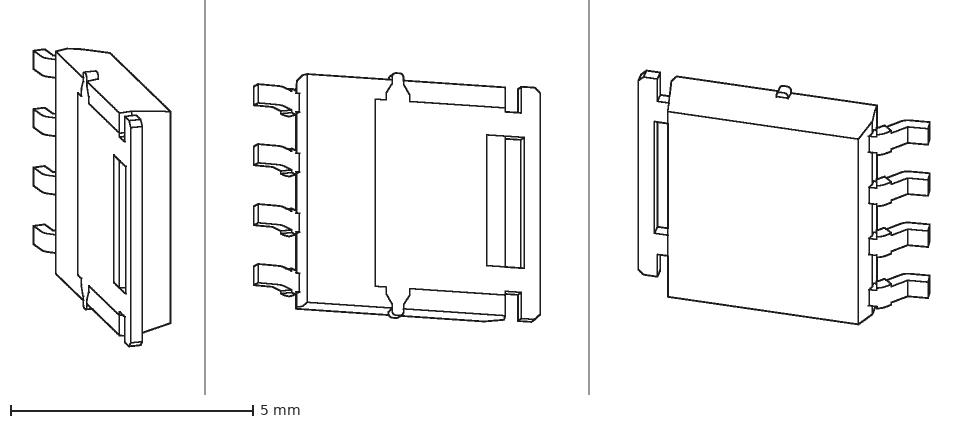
import cadquery as cq
import math


housing_top_y = 1.145
tab_thickness = 0.25
lead_side_parting_y = 0.565
base_x = (-1.955, 2.32)
parting_x = (-2.005, 2.37)
top_x = (-1.86, 2.21)
base_half_z = 2.42
parting_half_z = 2.45
top_half_z = 2.3

plate_left_x = -0.485
plate_half_z = 1.98
ear_root_half_width = 0.25
ear_neck_width = 0.25
ear_neck_half_width = ear_neck_width / 2
ear_taper_start_z = 2.12
ear_taper_end_z = 2.33
ear_tip_z = 2.565
ear_corner_radius = 0.09
arm_half_z = 1.9
crossbar_left_x = 2.66
crossbar_right_x = 3.075
crossbar_half_z = 2.455
crossbar_chamfer = 0.115
window_x = (1.92, 2.725)
window_half_z = 1.385

lead_count = 4
lead_row_length = 3.805
lead_pitch = lead_row_length / (lead_count - 1)
lead_width = 0.4
lead_thickness = 0.25
lead_tip_x = -3.075
lead_lowest_y = -0.13
foot_length = 0.425
foot_angle = math.radians(5.5)
riser_angle = math.radians(49)
riser_length = 0.55
upper_bend_inner_radius = 0.1
lead_end_x = -1.785
shoulder_width = 0.51
shoulder_start = 0.405
shoulder_end_angle = math.radians(17)


def housing_blank():
    """Block bounded by the sloping sides, without any pockets."""
    side_outline = [
        (base_x[0], 0),
        (base_x[1], 0),
        (parting_x[1], tab_thickness),
        (top_x[1], housing_top_y),
        (top_x[0], housing_top_y),
        (parting_x[0], lead_side_parting_y),
    ]
    end_outline = [
        (0, -base_half_z),
        (tab_thickness, -parting_half_z),
        (housing_top_y, -top_half_z),
        (housing_top_y, top_half_z),
        (tab_thickness, parting_half_z),
        (0, base_half_z),
    ]
    along_z = cq.Workplane("XY").polyline(side_outline).close().extrude(parting_half_z, both=True)
    reach_x = max(abs(x) for x in parting_x)
    along_x = cq.Workplane("YZ").polyline(end_outline).close().extrude(reach_x, both=True)
    return along_z.intersect(along_x)


def tab_slab(left_x, right_x, half_z):
    """Rectangular piece of the heat tab, symmetric about Z = 0."""
    return cq.Workplane("XY").box(
        right_x - left_x, tab_thickness, 2 * half_z, centered=(False, False, True)
    ).translate((left_x, 0, 0))


def tab_ears():
    """Pair of tapered ears with rounded tips, one at each Z end."""
    right_side = [
        (ear_neck_half_width, ear_tip_z),
        (ear_neck_half_width, ear_taper_end_z),
        (ear_root_half_width, ear_taper_start_z),
        (ear_root_half_width, -ear_taper_start_z),
        (ear_neck_half_width, -ear_taper_end_z),
        (ear_neck_half_width, -ear_tip_z),
    ]
    left_side = [(-x, z) for x, z in reversed(right_side)]
    blank = cq.Workplane("XZ").polyline(right_side + left_side).close().extrude(-tab_thickness)
    tip_corners = blank.faces("<Z or >Z").edges("|Y")
    return tip_corners.fillet(ear_corner_radius)


def make_heat_tab():
    """Plate with ears, joined by two arms to a crossbar outside the housing."""
    plate = tab_slab(plate_left_x, base_x[1], plate_half_z)
    arms = tab_slab(plate_left_x, crossbar_right_x, arm_half_z)
    crossbar = (
        tab_slab(crossbar_left_x, crossbar_right_x, crossbar_half_z)
        .edges("|Y and >X")
        .chamfer(crossbar_chamfer)
    )
    window = tab_slab(window_x[0], window_x[1], window_half_z)
    return plate.union(tab_ears()).union(arms).union(crossbar).cut(window)


def polar(center, radius, angle):
    """Point above a bend center, on the face normal of a strip that rises at the given angle."""
    return (center[0] - radius * math.sin(angle), center[1] + radius * math.cos(angle))


def along(start, length, angle):
    """Point at a distance from the start, along a strip that rises at the given angle."""
    return (start[0] + length * math.cos(angle), start[1] + length * math.sin(angle))


upper_bend_outer_radius = upper_bend_inner_radius + lead_thickness
tip_top = (lead_tip_x, lead_lowest_y + lead_thickness * math.cos(foot_angle))
heel = along(tip_top, foot_length, foot_angle)
riser_top = along(heel, riser_length, riser_angle)
upper_bend = polar(riser_top, -upper_bend_outer_radius, riser_angle)


def lead_strip():
    """Foot, riser and buried end of one lead, bent from a strip of constant thickness."""
    mid_upper = riser_angle / 2
    mid_lower = (foot_angle + riser_angle) / 2
    outer_end = polar(upper_bend, upper_bend_outer_radius, 0)
    inner_end = polar(upper_bend, upper_bend_inner_radius, 0)
    return (
        cq.Workplane("XY")
        .moveTo(*tip_top)
        .lineTo(*heel)
        .lineTo(*riser_top)
        .threePointArc(polar(upper_bend, upper_bend_outer_radius, mid_upper), outer_end)
        .lineTo(lead_end_x, outer_end[1])
        .lineTo(lead_end_x, inner_end[1])
        .lineTo(*inner_end)
        .threePointArc(
            polar(upper_bend, upper_bend_inner_radius, mid_upper),
            polar(upper_bend, upper_bend_inner_radius, riser_angle),
        )
        .lineTo(*polar(heel, -lead_thickness, riser_angle))
        .threePointArc(
            polar(heel, -lead_thickness, mid_lower),
            polar(heel, -lead_thickness, foot_angle),
        )
        .lineTo(*polar(tip_top, -lead_thickness, foot_angle))
        .close()
        .extrude(lead_width / 2, both=True)
    )


def lead_shoulder():
    """Wider stretch of the lead, from partway up the riser to partway round the upper bend."""
    start_top = along(heel, shoulder_start, riser_angle)
    mid_angle = (riser_angle + shoulder_end_angle) / 2
    return (
        cq.Workplane("XY")
        .moveTo(*start_top)
        .lineTo(*riser_top)
        .threePointArc(
            polar(upper_bend, upper_bend_outer_radius, mid_angle),
            polar(upper_bend, upper_bend_outer_radius, shoulder_end_angle),
        )
        .lineTo(*polar(upper_bend, upper_bend_inner_radius, shoulder_end_angle))
        .threePointArc(
            polar(upper_bend, upper_bend_inner_radius, mid_angle),
            polar(upper_bend, upper_bend_inner_radius, riser_angle),
        )
        .lineTo(*polar(start_top, -lead_thickness, riser_angle))
        .close()
        .extrude(shoulder_width / 2, both=True)
    )


def make_lead(center_z):
    """One complete lead at the given Z."""
    return lead_strip().union(lead_shoulder()).translate((0, 0, center_z))


heat_tab = make_heat_tab()

leads = []
for index in range(lead_count):
    lead_z = (index - (lead_count - 1) / 2) * lead_pitch
    leads.append(make_lead(lead_z))

housing = housing_blank().cut(heat_tab)
for lead in leads:
    housing = housing.cut(lead)

result = cq.Compound.makeCompound([housing.val(), heat_tab.val(), *[lead.val() for lead in leads]])